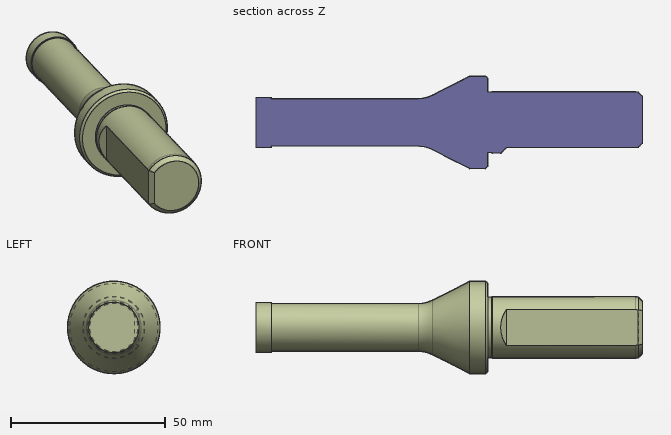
import cadquery as cq
import math

overall_length = 125.0
head_length = 5.0
cone_end = 69.1
collar_end = 75.0
relief_length = 1.1
relief_step_length = 0.4
lead_in_length = 1.0

head_radius = 8.1
neck_radius = 7.7
collar_radius = 15.0
collar_chamfer = 0.7
shank_radius = 10.0
relief_radius = 9.9
cone_angle = math.radians(27.0)
neck_fillet = 10.0

flat_distance = 8.1
flat_start = 81.0
end_chamfer = 1.4
lead_in_drop = 0.1
flat_end_bevel = 1.5
cutter_clearance = 0.1


def turned_body():
    """Revolve the half profile about the X axis."""
    fillet_rise = neck_fillet * (1 - math.cos(cone_angle))
    cone_start_radius = neck_radius + fillet_rise
    cone_start = cone_end - (collar_radius - cone_start_radius) / math.tan(cone_angle)
    fillet_start = cone_start - neck_fillet * math.sin(cone_angle)
    fillet_middle = (
        fillet_start + neck_fillet * math.sin(cone_angle / 2),
        neck_radius + neck_fillet * (1 - math.cos(cone_angle / 2)),
    )
    relief_end = collar_end + relief_length
    chamfer_start = overall_length - end_chamfer
    chamfer_radius = shank_radius - lead_in_drop

    profile = (
        cq.Workplane("XY")
        .moveTo(0, 0)
        .lineTo(0, head_radius)
        .lineTo(head_length, head_radius)
        .lineTo(head_length, neck_radius)
        .lineTo(fillet_start, neck_radius)
        .threePointArc(fillet_middle, (cone_start, cone_start_radius))
        .lineTo(cone_end, collar_radius)
        .lineTo(collar_end - collar_chamfer, collar_radius)
        .lineTo(collar_end, collar_radius - collar_chamfer)
        .lineTo(collar_end, relief_radius)
        .lineTo(relief_end, relief_radius)
        .lineTo(relief_end + relief_step_length, shank_radius)
        .lineTo(chamfer_start - lead_in_length, shank_radius)
        .lineTo(chamfer_start, chamfer_radius)
        .lineTo(overall_length, chamfer_radius - end_chamfer)
        .lineTo(overall_length, 0)
        .close()
    )
    return profile.revolve(360, (0, 0, 0), (1, 0, 0))


def flat_cutter():
    """Material outside the flat, with a 45 degree run-out and a beveled free end."""
    outer_distance = shank_radius + cutter_clearance
    run_out = outer_distance - flat_distance
    return (
        cq.Workplane("XY")
        .moveTo(flat_start, -flat_distance)
        .lineTo(overall_length - flat_end_bevel, -flat_distance)
        .lineTo(overall_length, flat_end_bevel - flat_distance)
        .lineTo(overall_length, -outer_distance)
        .lineTo(flat_start - run_out, -outer_distance)
        .close()
        .extrude(shank_radius, both=True)
    )


result = turned_body().cut(flat_cutter())